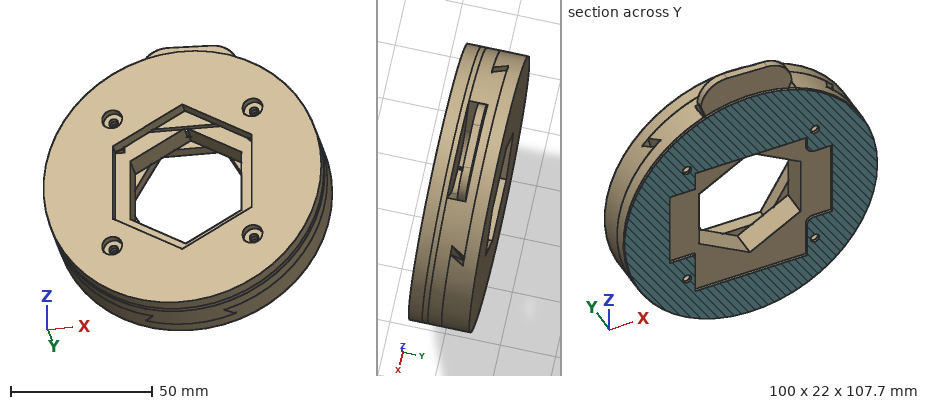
import cadquery as cq
import math

disc_radius = 50.0
front_plate_thickness = 5.0
spacer_thickness = 2.0
hub_thickness = 5.0
dovetail_height = 5.0
back_web_thickness = 5.0

spacer_y = front_plate_thickness
hub_y = spacer_y + spacer_thickness
dovetail_y = hub_y + hub_thickness
dovetail_top_y = dovetail_y + dovetail_height
back_y = dovetail_top_y + back_web_thickness

front_hex_flats = 50.0
inner_hex_flats = 40.0

screw_offset = 25.25
screw_hole_diameter = 3.2
screw_head_diameter = 7.2
screw_head_depth = 3.0
screw_hole_end_y = dovetail_y

window_half_width = 22.0
window_top = 22.5
window_bottom = -32.0
window_arm_half_length = 32.0
window_arm_half_height = 15.2
window_corner_radius = 3.0

pivot_z = 35.45
pocket_depth = 6.75
pocket_seat_radius = 12.65
pocket_wall_angle = 22.5
pocket_reach = 30.0

lever_thickness = 3.0
lever_hub_radius = 11.97
lever_half_width = 17.9
lever_corner_radius = 10.0
lever_shoulder_height = 11.92
lever_tilt = 2.1

dovetail_undercut_angle = 30.0
tongue_taper = 13.0
groove_taper = 15.0
dovetail_narrow_z = -49.0
dovetail_narrow_half_width = 15.7

pocket_end_y = hub_y + pocket_depth
lever_y = pocket_end_y - lever_thickness


def section_plane(y):
    """Plane across the disc axis: local x is X, local y is Z."""
    return cq.Workplane("XZ", origin=(0, y, 0))


def disc(y, thickness):
    return section_plane(y).circle(disc_radius).extrude(-thickness)


def hex_prism(y, thickness, across_flats, corner_angle):
    """Hexagonal prism with one corner at the given angle from +X."""
    corner_radius = across_flats / 2 / math.cos(math.radians(30))
    prism = section_plane(y).polygon(6, 2 * corner_radius).extrude(-thickness)
    return prism.rotate((0, 0, 0), (0, 1, 0), -corner_angle)


def screw_cylinders(y, thickness, diameter):
    square = section_plane(y).rect(2 * screw_offset, 2 * screw_offset, forConstruction=True)
    return square.vertices().circle(diameter / 2).extrude(-thickness)


def dovetail_wedge(taper):
    """Tapered dovetail, widest at its +Y face and at its +Z end."""
    slope = math.tan(math.radians(taper))
    inset = dovetail_height * math.tan(math.radians(dovetail_undercut_angle)) / math.cos(math.radians(taper))
    low_z = -disc_radius
    high_z = disc_radius

    def half_width(z):
        return dovetail_narrow_half_width + (z - dovetail_narrow_z) * slope

    def trapezoid(shrink):
        low = half_width(low_z) - shrink
        high = half_width(high_z) - shrink
        return [(-low, low_z), (low, low_z), (high, high_z), (-high, high_z)]

    wedge = section_plane(dovetail_y).polyline(trapezoid(inset)).close()
    wedge = wedge.workplane(offset=-dovetail_height).polyline(trapezoid(0)).close()
    return wedge.loft(ruled=True)


def lever_pocket():
    angle = math.radians(pocket_wall_angle)
    tangent_x = pocket_seat_radius * math.cos(angle)
    tangent_z = pivot_z - pocket_seat_radius * math.sin(angle)
    mouth_x = tangent_x + pocket_reach * math.tan(angle)
    mouth_z = tangent_z + pocket_reach
    outline = (
        section_plane(hub_y)
        .moveTo(-tangent_x, tangent_z)
        .threePointArc((0, pivot_z - pocket_seat_radius), (tangent_x, tangent_z))
        .lineTo(mouth_x, mouth_z)
        .lineTo(-mouth_x, mouth_z)
        .close()
    )
    return outline.extrude(-pocket_depth)


def make_front_plate():
    plate = disc(0, front_plate_thickness)
    plate = plate.cut(hex_prism(0, front_plate_thickness, front_hex_flats, 90))
    plate = plate.cut(screw_cylinders(0, front_plate_thickness, screw_hole_diameter))
    return plate.cut(screw_cylinders(0, screw_head_depth, screw_head_diameter))


def make_spacer():
    window_height = window_top - window_bottom
    upright = (
        section_plane(spacer_y)
        .center(0, (window_top + window_bottom) / 2)
        .rect(2 * window_half_width, window_height)
        .extrude(-spacer_thickness)
    )
    arms = (
        section_plane(spacer_y)
        .rect(2 * window_arm_half_length, 2 * window_arm_half_height)
        .extrude(-spacer_thickness)
    )
    spacer = disc(spacer_y, spacer_thickness).cut(upright.union(arms))
    corner_reach = 1.0
    corner_box = cq.selectors.BoxSelector(
        (window_half_width - corner_reach, spacer_y, -window_arm_half_height - corner_reach),
        (window_half_width + corner_reach, hub_y, window_arm_half_height + corner_reach),
    )
    spacer = spacer.edges("|Y").edges(corner_box).fillet(window_corner_radius)
    return spacer.cut(screw_cylinders(spacer_y, spacer_thickness, screw_hole_diameter))


def make_hub():
    tongue = dovetail_wedge(tongue_taper).intersect(disc(dovetail_y, dovetail_height))
    hub = disc(hub_y, hub_thickness).union(tongue)
    hub = hub.cut(hex_prism(hub_y, dovetail_top_y - hub_y, inner_hex_flats, 90))
    hub = hub.cut(lever_pocket())
    return hub.cut(screw_cylinders(hub_y, screw_hole_end_y - hub_y, screw_hole_diameter))


def make_lever():
    angle = math.radians(pocket_wall_angle)
    tangent_x = lever_hub_radius * math.cos(angle)
    tangent_z = pivot_z - lever_hub_radius * math.sin(angle)
    shoulder_z = pivot_z + lever_shoulder_height
    top_z = shoulder_z + lever_corner_radius
    top_x = lever_half_width - lever_corner_radius
    outline = (
        section_plane(lever_y)
        .moveTo(-tangent_x, tangent_z)
        .threePointArc((0, pivot_z - lever_hub_radius), (tangent_x, tangent_z))
        .lineTo(lever_half_width, shoulder_z)
        .radiusArc((top_x, top_z), -lever_corner_radius)
        .lineTo(-top_x, top_z)
        .radiusArc((-lever_half_width, shoulder_z), -lever_corner_radius)
        .close()
    )
    lever = outline.extrude(-lever_thickness)
    return lever.rotate((0, 0, pivot_z), (0, 1, pivot_z), lever_tilt)


def make_back_plate():
    plate = disc(dovetail_y, back_y - dovetail_y)
    plate = plate.cut(dovetail_wedge(groove_taper))
    return plate.cut(hex_prism(dovetail_top_y, back_web_thickness, inner_hex_flats, 0))


front_plate = make_front_plate()
spacer = make_spacer()
hub = make_hub()
lever = make_lever()
back_plate = make_back_plate()

result = cq.Compound.makeCompound(
    [front_plate.val(), spacer.val(), hub.val(), lever.val(), back_plate.val()]
)